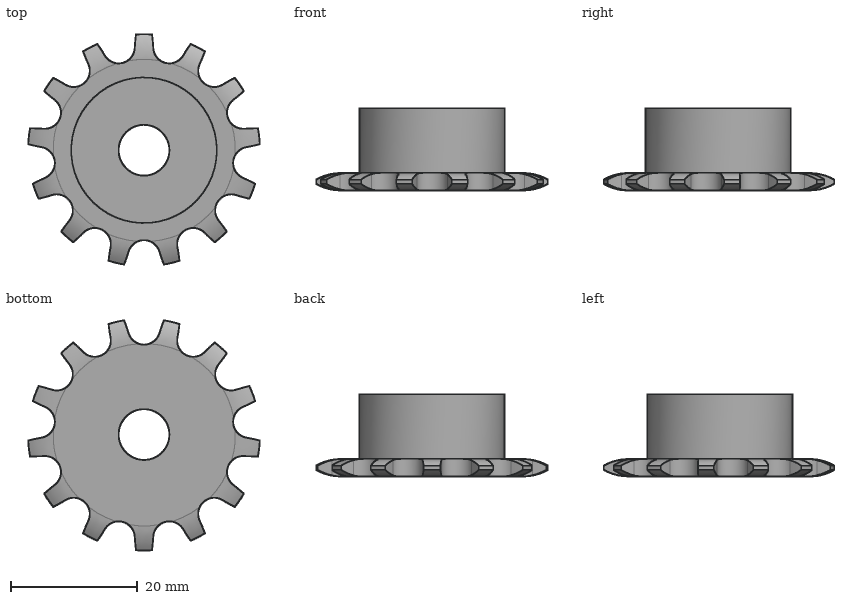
import cadquery as cq
import math

tooth_count = 13
tip_radius = 18.347
pitch = 8.0
roller_seat_radius = 2.53
root_radius = 14.22
seat_half_angle = 73.0
tip_half_angle = 4.0
plate_thickness = 2.8
relief_start_radius = 14.4
relief_arc_radius = pitch
hub_diameter = 23.0
bore_diameter = 8.0
total_height = 13.0

tooth_angle = 360.0 / tooth_count
relief_width = tip_radius - relief_start_radius
relief_depth = relief_arc_radius - math.sqrt(relief_arc_radius**2 - relief_width**2)
cutter_radius = tip_radius * 1.1


def make_plate():
    """Round blank whose rim is eased on both faces by arcs tangent to the faces."""
    half_width = relief_width / 2
    middle_depth = relief_arc_radius - math.sqrt(relief_arc_radius**2 - half_width**2)
    middle_radius = relief_start_radius + half_width
    return (
        cq.Workplane("XZ")
        .lineTo(relief_start_radius, 0)
        .threePointArc((middle_radius, middle_depth), (tip_radius, relief_depth))
        .lineTo(tip_radius, plate_thickness - relief_depth)
        .threePointArc(
            (middle_radius, plate_thickness - middle_depth),
            (relief_start_radius, plate_thickness),
        )
        .lineTo(0, plate_thickness)
        .close()
        .revolve(360, (0, 0), (0, 1))
    )


def make_gap_cutter():
    """Tooth gap centred on -Y: a round roller seat with flanks tangent to it."""
    seat_angle = math.radians(seat_half_angle)
    seat_center_y = -(root_radius + roller_seat_radius)
    seat_end_x = roller_seat_radius * math.sin(seat_angle)
    seat_end_y = seat_center_y + roller_seat_radius * math.cos(seat_angle)

    gap_half_angle = math.radians(tooth_angle / 2 - tip_half_angle)
    tip_x = tip_radius * math.sin(gap_half_angle)
    tip_y = -tip_radius * math.cos(gap_half_angle)

    chord_x = tip_x - seat_end_x
    chord_y = tip_y - seat_end_y
    chord = math.hypot(chord_x, chord_y)
    flank_turn = math.atan2(chord_x, -chord_y) - (math.pi / 2 - seat_angle)
    flank_sag = chord / 2 * math.tan(flank_turn / 2)
    middle_x = (seat_end_x + tip_x) / 2 + flank_sag * chord_y / chord
    middle_y = (seat_end_y + tip_y) / 2 - flank_sag * chord_x / chord

    return (
        cq.Workplane("XY")
        .moveTo(-seat_end_x, seat_end_y)
        .threePointArc((0, -root_radius), (seat_end_x, seat_end_y))
        .threePointArc((middle_x, middle_y), (tip_x, tip_y))
        .lineTo(tip_x, -cutter_radius)
        .lineTo(-tip_x, -cutter_radius)
        .lineTo(-tip_x, tip_y)
        .threePointArc((-middle_x, middle_y), (-seat_end_x, seat_end_y))
        .close()
        .extrude(plate_thickness)
    )


sprocket = make_plate()
gap_cutter = make_gap_cutter()
for index in range(tooth_count):
    sprocket = sprocket.cut(gap_cutter.rotate((0, 0, 0), (0, 0, 1), index * tooth_angle))

hub = cq.Workplane("XY").circle(hub_diameter / 2).extrude(total_height)
bore = cq.Workplane("XY").circle(bore_diameter / 2).extrude(total_height)

result = sprocket.union(hub).cut(bore)